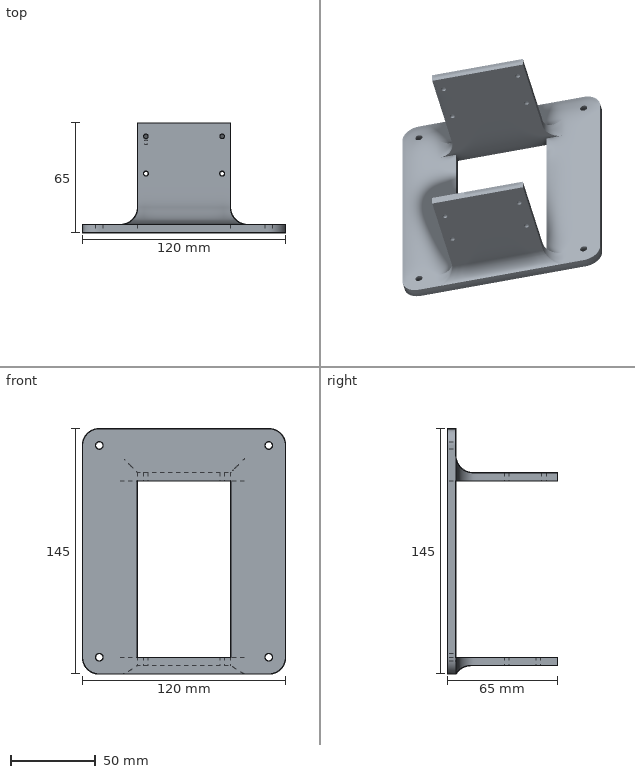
import cadquery as cq
import math

PLATE_WIDTH = 120.0
PLATE_HEIGHT = 145.0
PLATE_THICKNESS = 5.0
PLATE_CORNER_RADIUS = 10.0
PLATE_HOLE_DIAMETER = 4.3
PLATE_HOLE_INSET = 10.0

WINDOW_WIDTH = 55.0
WINDOW_HEIGHT = 104.0
WINDOW_BOTTOM_MARGIN = 10.0

TOTAL_DEPTH = 65.0
TAB_THICKNESS = 5.0
TAB_FLARE_RADIUS = 10.0
TAB_HOLE_DIAMETER = 2.75
TAB_HOLE_SPACING_X = 45.0
FRONT_HOLE_SETBACK = 30.0
UPPER_REAR_HOLE_SETBACK = 8.0
LOWER_REAR_HOLE_SETBACK = 11.5

WINDOW_BOTTOM = WINDOW_BOTTOM_MARGIN - PLATE_HEIGHT / 2
WINDOW_TOP = WINDOW_BOTTOM + WINDOW_HEIGHT
SIDE_FLARE_START = PLATE_THICKNESS + TAB_FLARE_RADIUS


def make_plate():
    """Rounded plate with four corner holes and the window."""
    plate = (
        cq.Workplane("XZ")
        .rect(PLATE_WIDTH, PLATE_HEIGHT)
        .extrude(-PLATE_THICKNESS)
        .edges("|Y")
        .fillet(PLATE_CORNER_RADIUS)
    )
    holes = (
        cq.Workplane("XZ")
        .rect(PLATE_WIDTH - 2 * PLATE_HOLE_INSET, PLATE_HEIGHT - 2 * PLATE_HOLE_INSET, forConstruction=True)
        .vertices()
        .circle(PLATE_HOLE_DIAMETER / 2)
        .extrude(-PLATE_THICKNESS)
    )
    window = (
        cq.Workplane("XZ")
        .center(0, WINDOW_BOTTOM + WINDOW_HEIGHT / 2)
        .rect(WINDOW_WIDTH, WINDOW_HEIGHT)
        .extrude(-PLATE_THICKNESS)
    )
    return plate.cut(holes).cut(window)


def make_tab(inner_z, outward, rear_hole_setback):
    """Tab whose inner face lies at inner_z, thickening toward outward (+1 up, -1 down).

    The outer flare is tangent to the tab. It also blends tangentially into the plate where there
    is room; otherwise it keeps its radius and ends on the plate's edge.

    The flared plan and the flared side profile are intersected, so the concave
    flares on the two sides and the outer face meet in mitred corners.
    """
    half_width = WINDOW_WIDTH / 2
    flared_half_width = half_width + TAB_FLARE_RADIUS
    outer_z = inner_z + outward * TAB_THICKNESS
    room_to_plate_edge = PLATE_HEIGHT / 2 - abs(outer_z)
    flare_rise = min(TAB_FLARE_RADIUS, room_to_plate_edge)
    flare_length = math.sqrt(TAB_FLARE_RADIUS**2 - (TAB_FLARE_RADIUS - flare_rise) ** 2)
    flared_thickness = TAB_THICKNESS + flare_rise
    flared_z = inner_z + outward * flared_thickness

    plan = (
        cq.Workplane("XY", origin=(0, 0, inner_z))
        .moveTo(-half_width, TOTAL_DEPTH)
        .lineTo(half_width, TOTAL_DEPTH)
        .lineTo(half_width, SIDE_FLARE_START)
        .radiusArc((flared_half_width, PLATE_THICKNESS), -TAB_FLARE_RADIUS)
        .lineTo(-flared_half_width, PLATE_THICKNESS)
        .radiusArc((-half_width, SIDE_FLARE_START), -TAB_FLARE_RADIUS)
        .close()
        .extrude(outward * flared_thickness)
    )
    side = (
        cq.Workplane("YZ")
        .moveTo(PLATE_THICKNESS, inner_z)
        .lineTo(TOTAL_DEPTH, inner_z)
        .lineTo(TOTAL_DEPTH, outer_z)
        .lineTo(PLATE_THICKNESS + flare_length, outer_z)
        .radiusArc((PLATE_THICKNESS, flared_z), outward * TAB_FLARE_RADIUS)
        .close()
        .extrude(flared_half_width, both=True)
    )
    half_spacing = TAB_HOLE_SPACING_X / 2
    hole_centers = [
        (x, TOTAL_DEPTH - setback)
        for x in (-half_spacing, half_spacing)
        for setback in (FRONT_HOLE_SETBACK, rear_hole_setback)
    ]
    holes = (
        cq.Workplane("XY", origin=(0, 0, inner_z))
        .pushPoints(hole_centers)
        .circle(TAB_HOLE_DIAMETER / 2)
        .extrude(outward * TAB_THICKNESS)
    )
    return plan.intersect(side).cut(holes)


upper_tab = make_tab(WINDOW_TOP, 1, UPPER_REAR_HOLE_SETBACK)
lower_tab = make_tab(WINDOW_BOTTOM, -1, LOWER_REAR_HOLE_SETBACK)

result = make_plate().union(upper_tab).union(lower_tab)